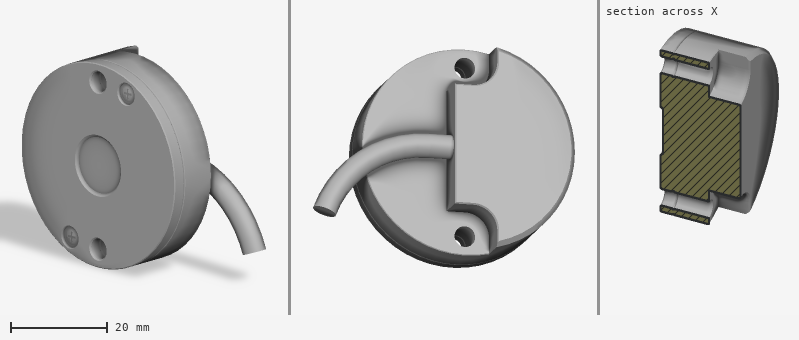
import cadquery as cq
import math

body_radius = 22.0
lid_thickness = 2.92
step_y = 11.0
total_depth = 18.0
front_chamfer = 0.2
rear_chamfer = 1.0
joint_chamfer = 0.25
step_chamfer = 0.18

recess_floor_diameter = 12.0
recess_chamfer = 0.6

mount_offset = 18.0
mount_diameter = 4.4
mount_chamfer = 0.3
mount_clearance_radius = 5.2

housing_right_x = 3.9
housing_edge_chamfer = 0.3

screw_x = 8.0
screw_z = 17.0
screw_bore_diameter = 4.6
screw_bore_depth = 0.6
screw_bore_chamfer = 0.18
screw_head_diameter = 3.5
screw_head_height = 0.25
cross_length = 2.25
cross_width = 0.55
cross_depth = 0.3

cable_radius = 2.5
cable_y = 14.5
cable_bend_start_x = 8.9
cable_bend_radius = 23.5
cable_bend_angle = 70.0


def disc(radius, y_start, y_end, center_x=0.0, center_z=0.0):
    """Cylinder along Y between two depths."""
    plane = cq.Workplane("XZ", origin=(center_x, y_start, center_z))
    return plane.circle(radius).extrude(y_start - y_end)


def countersink(diameter, chamfer, center_x=0.0, center_z=0.0, face_y=0.0, inward=1):
    """45 degree cone breaking a bore edge at a face normal to Y.

    The cone narrows toward +Y when inward is 1 and toward -Y when it is -1.
    """
    radius = diameter / 2
    cone = cq.Solid.makeCone(
        radius + chamfer,
        radius,
        chamfer,
        pnt=cq.Vector(center_x, face_y, center_z),
        dir=cq.Vector(0, inward, 0),
    )
    return cq.Workplane(obj=cone)


def make_lid():
    """Front disc, chamfered on both rims."""
    lid = disc(body_radius, 0, lid_thickness)
    return lid.faces("<Y").chamfer(front_chamfer).faces(">Y").chamfer(joint_chamfer)


def make_base():
    """Main disc behind the lid; its front chamfer forms the joint groove."""
    base = disc(body_radius, lid_thickness, step_y)
    return base.faces("<Y").chamfer(joint_chamfer).faces(">Y").chamfer(step_chamfer)


def make_housing():
    """Raised rear part, cut back around both mounting holes."""
    clearance = mount_clearance_radius
    wall_z = mount_offset - clearance
    arc_offset = clearance * math.sqrt(0.5)
    outside = body_radius + 1
    front_y = (lid_thickness + step_y) / 2
    block = (
        cq.Workplane("XZ", origin=(0, front_y, 0))
        .moveTo(-outside, -outside)
        .lineTo(-clearance, -outside)
        .lineTo(-clearance, -mount_offset)
        .threePointArc((-arc_offset, -mount_offset + arc_offset), (0, -wall_z))
        .lineTo(housing_right_x, -wall_z)
        .lineTo(housing_right_x, wall_z)
        .lineTo(0, wall_z)
        .threePointArc((-arc_offset, mount_offset - arc_offset), (-clearance, mount_offset))
        .lineTo(-clearance, outside)
        .lineTo(-outside, outside)
        .close()
        .extrude(front_y - total_depth)
        .faces(">Y")
        .chamfer(housing_edge_chamfer)
    )
    envelope = disc(body_radius, lid_thickness, total_depth).faces(">Y").chamfer(rear_chamfer)
    return block.intersect(envelope)


def make_cable():
    """Straight lead out of the housing followed by a downward bend."""
    straight = (
        cq.Workplane("YZ", origin=(0, cable_y, 0))
        .circle(cable_radius)
        .extrude(cable_bend_start_x)
    )
    bend = (
        cq.Workplane("YZ", origin=(cable_bend_start_x, cable_y, 0))
        .circle(cable_radius)
        .revolve(cable_bend_angle, (0, -cable_bend_radius, 0), (1, -cable_bend_radius, 0))
    )
    return straight.union(bend)


def cut_mounting_hole(part, center_z):
    """Through hole, countersunk at the front and on both sides of the lid joint."""
    hole = disc(mount_diameter / 2, 0, total_depth, 0, center_z)
    part = part.cut(hole)
    for face_y, inward in ((0, 1), (lid_thickness, -1), (lid_thickness, 1)):
        part = part.cut(countersink(mount_diameter, mount_chamfer, 0, center_z, face_y, inward))
    return part


def add_screw(part, center_x, center_z):
    """Sunk screw with a domed head and a cross slot."""
    bore = disc(screw_bore_diameter / 2, 0, screw_bore_depth, center_x, center_z)
    part = part.cut(bore)
    part = part.cut(countersink(screw_bore_diameter, screw_bore_chamfer, center_x, center_z))

    head_radius = screw_head_diameter / 2
    dome_radius = (head_radius**2 + screw_head_height**2) / (2 * screw_head_height)
    head_top_y = screw_bore_depth - screw_head_height
    dome = cq.Workplane("XY").sphere(dome_radius)
    dome = dome.translate((center_x, head_top_y + dome_radius, center_z))
    head = disc(head_radius, head_top_y, screw_bore_depth, center_x, center_z).intersect(dome)
    part = part.union(head)

    cross_center = (center_x, head_top_y + cross_depth / 2, center_z)
    for length_x, length_z in ((cross_length, cross_width), (cross_width, cross_length)):
        slot = cq.Workplane("XY").box(length_x, cross_depth, length_z)
        part = part.cut(slot.translate(cross_center))
    return part


part = make_lid().union(make_base()).union(make_housing()).union(make_cable())
part = part.cut(countersink(recess_floor_diameter, recess_chamfer))
for side in (1, -1):
    part = cut_mounting_hole(part, side * mount_offset)
    part = add_screw(part, side * screw_x, side * screw_z)

result = part